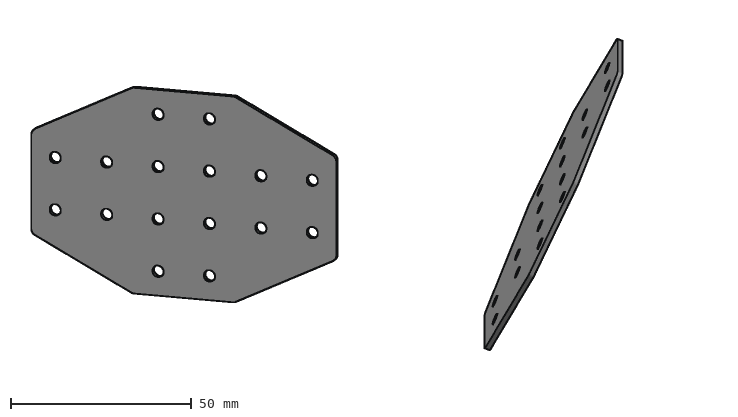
import cadquery as cq

hole_pitch = 15.0
hole_diameter = 3.25
edge_margin = 7.0
thickness = 1.5
corner_radius = 2.0
corner_cut_z = 14.81
edge_run_per_rise = 2.0

holes_per_row = [2, 6, 6, 2]

length = (max(holes_per_row) - 1) * hole_pitch + 2 * edge_margin
height = (len(holes_per_row) - 1) * hole_pitch + 2 * edge_margin
corner_cut_x = edge_run_per_rise * corner_cut_z

back_face_centre = (0, thickness / 2, 0)


def centred_positions(count):
    """Evenly pitched coordinates, centred on zero."""
    return [(i - (count - 1) / 2) * hole_pitch for i in range(count)]


def make_plate():
    """Octagonal plate with rounded corners, its faces parallel to XZ and its mid-plane at Y = 0."""
    half_length = length / 2
    half_height = height / 2
    flat_x = half_length - corner_cut_x
    flat_z = half_height - corner_cut_z
    outline = [
        (half_length, flat_z),
        (flat_x, half_height),
        (-flat_x, half_height),
        (-half_length, flat_z),
        (-half_length, -flat_z),
        (-flat_x, -half_height),
        (flat_x, -half_height),
        (half_length, -flat_z),
    ]
    plate = cq.Workplane("XZ", origin=back_face_centre).polyline(outline).close().extrude(thickness)
    return plate.edges("|Y").fillet(corner_radius)


def make_holes():
    """Cylinders for all the through holes."""
    centres = []
    for z, count in zip(centred_positions(len(holes_per_row)), holes_per_row):
        for x in centred_positions(count):
            centres.append((x, z))
    drill = cq.Workplane("XZ", origin=back_face_centre).pushPoints(centres).circle(hole_diameter / 2)
    return drill.extrude(thickness)


result = make_plate().cut(make_holes())